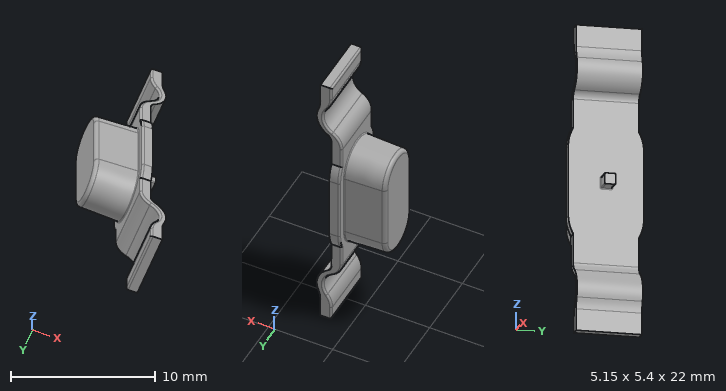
import cadquery as cq


strip_length = 22.02
strip_width = 4.7
plate_thickness = 0.8
tab_end_back = 0.87
edge_round = 0.15

wave_crest_z = 7.98
wave_front_x = 0.65
wave_back_x = 1.15
front_outer_z = 9.91
front_inner_z = 5.5
back_outer_z = 9.45
back_inner_z = 5.9
front_crest_radius = 1.38
back_crest_radius = 1.78

straight_length = 5.0
plate_end_radius = 2.7
cap_base_radius = 2.03
cap_height = 3.2
cap_draft = 2.0
cap_top_round = 0.3
cap_base_round = 0.07

pin_width = 0.78
pin_length = wave_back_x
pin_edge_round = 0.08
pin_base_round = 0.07

tolerance = 0.01


def inflection_point(crest, crest_radius, end):
    """Point where the crest arc passes into the arc that meets a straight, along Z, at end."""
    dx = end[0] - crest[0]
    dz = end[1] - crest[1]
    radius_sum = (dx**2 + dz**2) / (2 * abs(dx))
    share = crest_radius / radius_sum
    return (crest[0] + share * dx, crest[1] + share * dz)


def draw_wave(sketch, start, crest, crest_radius, end):
    """Three tangent arcs from start over the crest to end, parallel to Z at start, crest and end."""
    first = inflection_point(crest, crest_radius, start)
    second = inflection_point(crest, crest_radius, end)
    sketch = sketch.tangentArcPoint(first, relative=False)
    sketch = sketch.threePointArc(crest, second)
    return sketch.tangentArcPoint(end, relative=False)


def make_strip_half():
    """Upper half of the bent strip, from the middle of the plate to the tab end."""
    end_z = strip_length / 2
    front_crest = (wave_front_x, wave_crest_z)
    back_crest = (wave_back_x, wave_crest_z)
    front_inner = (-plate_thickness, front_inner_z)
    back_outer = (tab_end_back, back_outer_z)

    profile = cq.Workplane("XZ").moveTo(-plate_thickness, 0).lineTo(*front_inner)
    profile = draw_wave(profile, front_inner, front_crest, front_crest_radius, (0, front_outer_z))
    profile = profile.lineTo(0, end_z).lineTo(tab_end_back, end_z).lineTo(*back_outer)
    profile = draw_wave(profile, back_outer, back_crest, back_crest_radius, (0, back_inner_z))
    return profile.lineTo(0, 0).close().extrude(strip_width / 2, both=True)


def make_strip():
    """Whole bent strip; the rounding runs along both sides of its front face and across the tab ends."""
    half = make_strip_half()
    strip = half.union(half.mirror("XY")).clean()
    side_edges = strip.faces("<X").edges("|Z")
    end_edges = strip.faces("<Z or >Z").edges("<X")
    return strip.newObject(side_edges.vals() + end_edges.vals()).fillet(edge_round)


def rounded_slab(radius, height, taper=0):
    """Slab with rounded ends, grown toward -X from X = 0."""
    outline = cq.Workplane("YZ").slot2D(straight_length + 2 * radius, 2 * radius, 90)
    return outline.extrude(-height, taper=taper)


def make_plate():
    """Bent strip joined with its widened middle."""
    middle = rounded_slab(plate_end_radius, plate_thickness).faces("<X").edges().fillet(edge_round)
    return make_strip().union(middle)


def make_cap():
    """Drafted cap with a rounded top, standing on the front of the plate."""
    cap = rounded_slab(cap_base_radius, cap_height, cap_draft)
    return cap.faces("<X").edges().fillet(cap_top_round).translate((-plate_thickness, 0, 0))


def make_pin():
    """Square pin with rounded long edges."""
    pin = cq.Workplane("YZ").rect(pin_width, pin_width).extrude(pin_length)
    return pin.edges("|X").fillet(pin_edge_round)


def fillet_seam(body, seam_x, half_y, half_z, radius):
    """Fillet the closed seam lying on the plane X = seam_x within the given half sizes."""
    low = (seam_x - tolerance, -half_y - tolerance, -half_z - tolerance)
    high = (seam_x + tolerance, half_y + tolerance, half_z + tolerance)
    seam = cq.selectors.BoxSelector(low, high, boundingbox=True)
    return body.edges(seam).fillet(radius)


body = make_plate().union(make_cap()).union(make_pin())
cap_half_z = straight_length / 2 + cap_base_radius
body = fillet_seam(body, -plate_thickness, cap_base_radius, cap_half_z, cap_base_round)
result = fillet_seam(body, 0, pin_width / 2, pin_width / 2, pin_base_round)